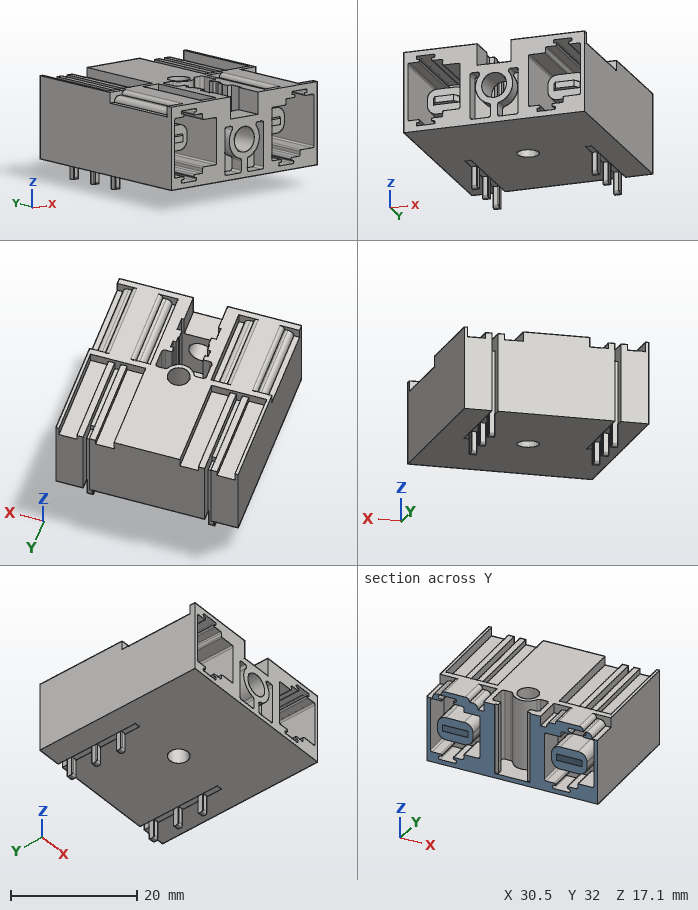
import cadquery as cq
UNIT_HALF = 5.08
WIDTH = 6 * UNIT_HALF
LENGTH = 32.0
HEIGHT = 13.5
POLE_X = 2 * UNIT_HALF
MID_Z = HEIGHT / 2
FRONT_Y = -LENGTH / 2
BACK_Y = LENGTH / 2
SIDES = (-1, 1)

CAVITY_DEPTH = 15.0
CAVITY_HALF = 4.4
CAVITY_TALL = 4.83
CAVITY_LOW = 3.85
CAVITY_STEP_X = 1.47
KEY_NECK = (-2.4, -0.4)
KEY_HEAD = (-2.95, 0.15)
KEY_LIP = 5.3
KEY_TOP = 5.85
CAVITY_ROUND = 0.3
KEY_ROUND = 0.22

SLEEVE_SETBACK = 5.82
SLEEVE_WIDTH = 6.4
SLEEVE_HEIGHT = 4.15
SLEEVE_ROUND = 1.6

SCREW_Z = HEIGHT - 7.25
SCREW_RADIUS = 2.08
SCREW_BOSS_RADIUS = 3.15
HOLLOW_DEPTH = 2.35
HOLLOW_OUTER_X = 4.048
HOLLOW_RIB_HALF = 0.6
HOLLOW_TOP_Z = HEIGHT - 4.8
HOLLOW_ROUND = 0.4

MOUNT_RADIUS = 1.8
MOUNT_BOSS_RADIUS = 2.45
FLOOR = MID_Z - KEY_TOP
POCKET_FRONT = 4.65
POCKET_STEPS = (
    (6.9, 3.25),
    (8.35, 2.43),
    (9.45, 2.6),
    (10.62, 3.15),
    (11.55, 2.6),
)
POCKET_BACK = 15.15
POCKET_BACK_HALF = 4.2
POCKET_ROUND = 0.5
CHANNEL_HALF = 2.85
CHANNEL_DEPTH = 3.6

SHOULDER_START = 1.05
SHOULDER_END = CAVITY_DEPTH
SHOULDER_FLAT = 0.95
LOWER_ROUND = 1.0
UPPER_ROUND = 0.75
SHOULDER_INNER = 1.82

TRAY_LENGTH = 15.95
TRAY_DEPTH = 1.57
TRAY_OUTER_WALL = 0.528
TRAY_INNER_X = 5.5
RIB_WIDTH = 1.05
RIB_DROP = 0.65

SHEET = 1.02
PLATE_BACK_GAP = 1.75
PLATE_DROP = 2.05
NOTCH_LENGTH = 2.0
NOTCH_DROP = 1.0
TAIL_COUNT = 3
TAIL_PITCH = 5.05
TAIL_WIDTH = 1.15
TAIL_LENGTH = 3.6
TAIL_TIP_ROUND = 0.4
TAIL_CHAMFER = 0.13
BLADE_WIDTH = 4.4
BLADE_TIP_WIDTH = 3.1
BLADE_TAPER_LENGTH = 0.95

SLIT_FRONT_Y = BACK_Y - TRAY_LENGTH


def box(x0, x1, y0, y1, z0, z1):
    """Block given by its limits along each axis."""
    return cq.Workplane("XY").box(x1 - x0, y1 - y0, z1 - z0, centered=False).translate((x0, y0, z0))


def front_plane(y):
    """XZ sketch plane at the given Y; extruding by a negative length goes towards the back."""
    return cq.Workplane("XZ", origin=(0, y, 0))


def half_outline(hand):
    """Points of one half of the cavity outline, from the tall side to the low side."""
    points = [
        (-CAVITY_HALF, CAVITY_TALL),
        (KEY_NECK[0], CAVITY_TALL),
        (KEY_NECK[0], KEY_LIP),
        (KEY_HEAD[0], KEY_LIP),
        (KEY_HEAD[0], KEY_TOP),
        (KEY_HEAD[1], KEY_TOP),
        (KEY_HEAD[1], KEY_LIP),
        (KEY_NECK[1], KEY_LIP),
        (KEY_NECK[1], CAVITY_TALL),
        (CAVITY_STEP_X, CAVITY_TALL),
        (CAVITY_STEP_X, CAVITY_LOW),
        (CAVITY_HALF, CAVITY_LOW),
    ]
    return [(hand * x, z) for x, z in points]


def mating_cavity(side):
    """Chamber of one pole; the upper half is mirrored on the right so that the poles differ."""
    upper = half_outline(-side)
    if side > 0:
        upper.reverse()
    lower = [(x, -z) for x, z in reversed(half_outline(1))]
    outline = [(side * POLE_X + x, MID_Z + z) for x, z in upper + lower]
    cavity = front_plane(FRONT_Y).polyline(outline).close().extrude(-CAVITY_DEPTH)
    cavity = cavity.edges("|Y and (not >X) and (not <X)").fillet(KEY_ROUND)
    return cavity.edges("|Y and (>X or <X)").fillet(CAVITY_ROUND)


def sleeve(side):
    """Oval sleeve of one pole, reaching forward from the end wall of the cavity."""
    block = (
        front_plane(FRONT_Y + SLEEVE_SETBACK)
        .center(side * POLE_X, MID_Z)
        .rect(SLEEVE_WIDTH, SLEEVE_HEIGHT)
        .extrude(SLEEVE_SETBACK - CAVITY_DEPTH)
    )
    return block.edges("|Y").fillet(SLEEVE_ROUND)


def screw_hole():
    """Hole from the mating face into the nut pocket."""
    return front_plane(FRONT_Y).center(0, SCREW_Z).circle(SCREW_RADIUS).extrude(-POCKET_FRONT)


def screw_hollow(side):
    """Hollow beside the screw hole, leaving a round boss carried by a thin rib."""
    x0, x1 = sorted((side * HOLLOW_RIB_HALF, side * HOLLOW_OUTER_X))
    hollow = box(x0, x1, FRONT_Y, FRONT_Y + HOLLOW_DEPTH, FLOOR, HOLLOW_TOP_Z)
    boss = front_plane(FRONT_Y).center(0, SCREW_Z).circle(SCREW_BOSS_RADIUS).extrude(-HOLLOW_DEPTH)
    return hollow.cut(boss).edges("|Y").fillet(HOLLOW_ROUND)


def nut_pocket():
    """Stepped pocket in the top face, with a wide rounded end that wraps the mounting hole boss."""
    steps_end = POCKET_STEPS[-1][0]
    pocket = box(
        -POCKET_BACK_HALF, POCKET_BACK_HALF, FRONT_Y + steps_end, FRONT_Y + POCKET_BACK, FLOOR, HEIGHT
    )
    boss = cq.Workplane("XY").circle(MOUNT_BOSS_RADIUS).extrude(HEIGHT)
    pocket = pocket.cut(boss).edges("|Z").fillet(POCKET_ROUND)
    start = POCKET_FRONT
    for end, half in POCKET_STEPS:
        pocket = pocket.union(box(-half, half, FRONT_Y + start, FRONT_Y + end, FLOOR, HEIGHT))
        start = end
    return pocket


def channel():
    """Open channel from the mating face to the nut pocket."""
    back = FRONT_Y + POCKET_FRONT
    return box(-CHANNEL_HALF, CHANNEL_HALF, FRONT_Y, back, HEIGHT - CHANNEL_DEPTH, HEIGHT)


def shoulder(pole_x, hand):
    """Trough beside a pole whose pole-side wall is two convex quarter rounds, one above the other."""
    outer = UNIT_HALF
    lower_x = outer - SHOULDER_FLAT
    ledge_x = SHOULDER_INNER + UPPER_ROUND
    ledge_z = HEIGHT - UPPER_ROUND
    floor_z = ledge_z - LOWER_ROUND
    diagonal = 0.5 ** 0.5

    def at(x, z):
        return (pole_x + hand * x, z)

    profile = (
        front_plane(FRONT_Y + SHOULDER_START)
        .moveTo(*at(outer, HEIGHT))
        .lineTo(*at(outer, floor_z))
        .lineTo(*at(lower_x, floor_z))
        .threePointArc(
            at(lower_x - LOWER_ROUND * (1 - diagonal), floor_z + LOWER_ROUND * diagonal),
            at(lower_x - LOWER_ROUND, ledge_z),
        )
        .lineTo(*at(ledge_x, ledge_z))
        .threePointArc(
            at(ledge_x - UPPER_ROUND * (1 - diagonal), ledge_z + UPPER_ROUND * diagonal),
            at(SHOULDER_INNER, HEIGHT),
        )
        .close()
    )
    return profile.extrude(SHOULDER_START - SHOULDER_END)


def terminal_tray(side):
    """Open tray over one terminal, with its ribs left standing and the slit cut right through."""
    pole_x = side * POLE_X
    x0, x1 = sorted((side * TRAY_INNER_X, side * (WIDTH / 2 - TRAY_OUTER_WALL)))
    slit_half = SHEET / 2
    rib_half = slit_half + RIB_WIDTH
    rib_top = HEIGHT - RIB_DROP
    tray = box(x0, x1, SLIT_FRONT_Y, BACK_Y, HEIGHT - TRAY_DEPTH, HEIGHT)
    ribs = box(pole_x - rib_half, pole_x + rib_half, SLIT_FRONT_Y, BACK_Y, 0, rib_top)
    slit = box(pole_x - slit_half, pole_x + slit_half, SLIT_FRONT_Y, BACK_Y, 0, HEIGHT)
    return tray.cut(ribs).union(slit)


def blade_slot(side):
    """Slot for the blade, from the front of the sleeve to the terminal slit."""
    start = FRONT_Y + SLEEVE_SETBACK
    profile = front_plane(start).center(side * POLE_X, MID_Z).rect(BLADE_WIDTH, SHEET)
    return profile.extrude(start - SLIT_FRONT_Y)


def make_housing():
    housing = box(-WIDTH / 2, WIDTH / 2, FRONT_Y, BACK_Y, 0, HEIGHT)
    housing = housing.cut(screw_hole()).cut(nut_pocket()).cut(channel())
    housing = housing.cut(cq.Workplane("XY").circle(MOUNT_RADIUS).extrude(HEIGHT))
    for side in SIDES:
        housing = housing.cut(mating_cavity(side)).union(sleeve(side)).cut(screw_hollow(side))
        housing = housing.cut(terminal_tray(side)).cut(blade_slot(side))
        for hand in SIDES:
            housing = housing.cut(shoulder(side * POLE_X, hand))
    return housing


def terminal_plate():
    """Upright plate in the slit, lower at its rear end."""
    half = SHEET / 2
    back = BACK_Y - PLATE_BACK_GAP
    top = HEIGHT - PLATE_DROP
    plate = box(-half, half, SLIT_FRONT_Y, back, 0, top)
    return plate.cut(box(-half, half, back - NOTCH_LENGTH, back, top - NOTCH_DROP, top))


def terminal_tail(back):
    """Solder tail with a rounded tip; back is the Y of its rear face."""
    half = SHEET / 2
    tail = box(-half, half, back - TAIL_WIDTH, back, -TAIL_LENGTH, 0)
    tail = tail.edges("|Z").chamfer(TAIL_CHAMFER)
    return tail.edges("|X and <Z").fillet(TAIL_TIP_ROUND)


def terminal_blade():
    """Flat blade whose tapered tip stands out of the sleeve."""
    taper_end = FRONT_Y + SLEEVE_SETBACK
    tip = taper_end - BLADE_TAPER_LENGTH
    outline = [
        (-BLADE_TIP_WIDTH / 2, tip),
        (BLADE_TIP_WIDTH / 2, tip),
        (BLADE_WIDTH / 2, taper_end),
        (BLADE_WIDTH / 2, SLIT_FRONT_Y),
        (-BLADE_WIDTH / 2, SLIT_FRONT_Y),
        (-BLADE_WIDTH / 2, taper_end),
    ]
    base = cq.Workplane("XY", origin=(0, 0, MID_Z - SHEET / 2))
    return base.polyline(outline).close().extrude(SHEET)


def make_terminal(side):
    terminal = terminal_plate().union(terminal_blade())
    for i in range(TAIL_COUNT):
        terminal = terminal.union(terminal_tail(BACK_Y - PLATE_BACK_GAP - i * TAIL_PITCH))
    return terminal.translate((side * POLE_X, 0, 0))


housing = make_housing()
terminals = [make_terminal(side) for side in SIDES]
result = cq.Compound.makeCompound([housing.val(), *[terminal.val() for terminal in terminals]])